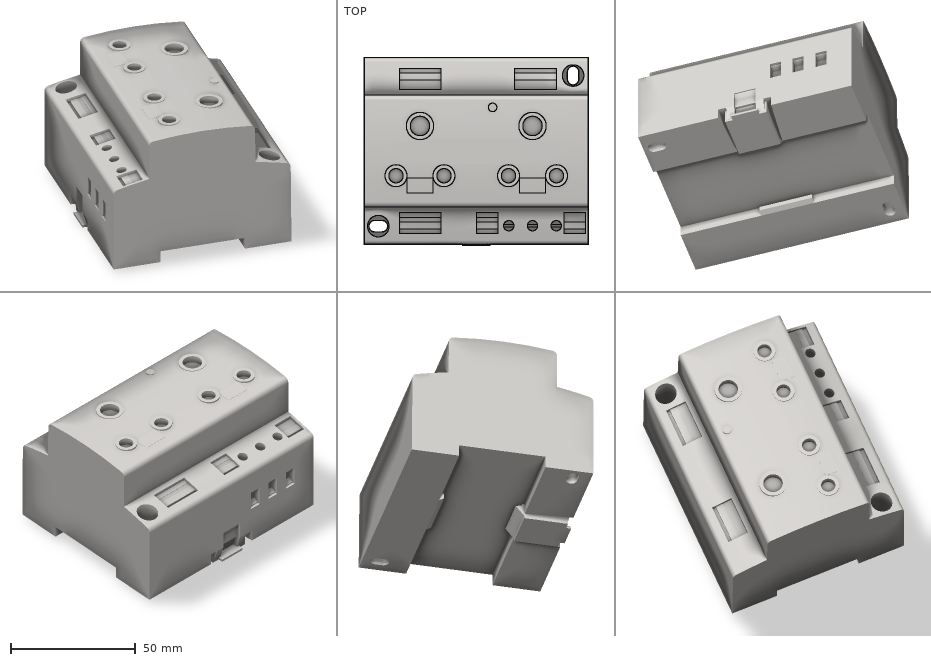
import cadquery as cq
import math


LENGTH = 90.0
DEPTH = 75.1
CROWN_TOP = 57.3
CROWN_RADIUS = 171.0
EDGE_RADIUS = 2.0
FRONT_STEP = 15.0
BACK_STEP = 59.9
STEP_FOOT = 39.1
SHOULDER_EDGE = 35.9
SHOULDER_SAG = 0.2
BACK_DRAFT = 0.4

NOTCH_FRONT = 19.7
NOTCH_BACK = 55.4
NOTCH_HEIGHT = 4.95
HOOK_WIDTH = 22.3
HOOK_REACH = 2.0
HOOK_HEIGHT = 4.0
HOOK_TIP = (1.1, 3.15)

SLOT_FRONT_WIDTH = 22.3
SLOT_BACK_WIDTH = 19.1
LATCH_WIDTH = 17.5
LATCH_WALL = 0.9
LATCH_BOTTOM = -1.6
TRAY_FLOOR = -0.5
TRAY_FRONT = 1.6
TAB_OVERHANG = 0.45
TAB_WIDTH = 11.2
LATCH_TIP = 23.2
LATCH_TIP_Z = 3.7
LATCH_NECK = 20.6
LATCH_NECK_Z = 4.2
FACE_LEAN = 16.0

RECESS_WIDTH = 9.0
RECESS_TOP = 12.3
RECESS_CEILING = 0.45
RECESS_LEDGE = 9.5
RECESS_FOOT = 5.2
RECESS_UNDERCUT = 0.9

ENTRY_PITCH = 9.5
ENTRY_MIDDLE = 22.6
ENTRY_XS = [ENTRY_MIDDLE + step * ENTRY_PITCH for step in (-1, 0, 1)]
ENTRY_WIDTH = 4.7
ENTRY_BOTTOM = 16.5
ENTRY_TOP = 24.75
ENTRY_MOUTH = 1.2
ENTRY_STEP = 0.4
ENTRY_FUNNEL_RISE = 1.2
ENTRY_FUNNEL_ANGLE = 30.0
SCREW_Y = 7.5
SCREW_DIAMETER = 4.1
SCREW_HEAD_Z = 27.0
SCREW_SLOT_WIDTH = 0.9
SCREW_SLOT_DEPTH = 0.7

WINDOW_DEPTH = 1.3
SHALLOW_GROOVE = 0.2
DEEP_GROOVE = 0.9
LEFT_WINDOW_X = (-30.8, -14.2)
FRONT_MIDDLE_WINDOW_X = (0.1, 8.7)
FRONT_RIGHT_WINDOW_X = (35.3, 43.9)
BACK_RIGHT_WINDOW_X = (15.3, 32.2)
FRONT_WINDOW = (4.3, 12.7)
FRONT_OUTER_GROOVE = (FRONT_WINDOW[0], 6.2)
FRONT_INNER_GROOVE = (9.0, 10.7)
FRONT_WIDE_GROOVE = (FRONT_INNER_GROOVE[0], FRONT_WINDOW[1])
BACK_WINDOW = (62.1, 70.6)
BACK_OUTER_GROOVE = (68.85, BACK_WINDOW[1])
BACK_WIDE_GROOVE = (BACK_WINDOW[0], 66.0)

MOUNT_FRONT_X = -39.3
MOUNT_FRONT_Y = 7.3
MOUNT_BACK_X = 38.9
MOUNT_BACK_Y = 67.8
MOUNT_HEAD_DIAMETER = 8.6
MOUNT_SLOT_LENGTH = 7.5
MOUNT_SLOT_WIDTH = 4.5
MOUNT_FLOOR = 4.95

GROUP_X = 22.6
RIM_TOP = 57.5
BIG_SOCKET_Y = 47.5
BIG_RIM_DIAMETER = 11.0
BIG_BORE_DIAMETER = 7.8
SMALL_SOCKET_Y = 27.5
SMALL_SOCKET_OFFSET = 9.6
SMALL_RIM_DIAMETER = 8.8
SMALL_BORE_DIAMETER = 5.8
BORE_DEPTH = 3.15
PAD_WIDTH = 10.35
PAD_FRONT = 20.6
PAD_BACK = 26.6
PAD_HEIGHT = 0.1
LAMP_X = 6.6
LAMP_Y = 55.0
LAMP_DIAMETER = 3.4
LAMP_TOP = 57.0

CROWN_Y = (FRONT_STEP + BACK_STEP) / 2


def crown_z(y):
    """Height of the curved top at y."""
    return CROWN_TOP - CROWN_RADIUS + math.sqrt(CROWN_RADIUS**2 - (y - CROWN_Y) ** 2)


def extrude_x(wire, center, width):
    """Solid of a closed YZ outline, centred on x = center."""
    return wire.extrude(width / 2, both=True).translate((center, 0, 0))


def prism(points, center, width):
    """Straight-sided solid of YZ points, centred on x = center."""
    return extrude_x(cq.Workplane("YZ").polyline(points).close(), center, width)


def box(x_range, y_range, z_range):
    """Box between the given limits."""
    sizes = [high - low for low, high in (x_range, y_range, z_range)]
    corner = (x_range[0], y_range[0], z_range[0])
    return cq.Workplane("XY").box(*sizes, centered=False).translate(corner)


def rod(x, y, diameter, bottom, top):
    """Upright cylinder."""
    return cq.Workplane("XY", origin=(x, y, bottom)).circle(diameter / 2).extrude(top - bottom)


def shoulder_middle(y_start, y_end):
    """Middle point of a shoulder arc."""
    return ((y_start + y_end) / 2, (STEP_FOOT + SHOULDER_EDGE) / 2 + SHOULDER_SAG)


def make_housing():
    back_top = DEPTH - BACK_DRAFT
    crown_back = BACK_STEP - BACK_DRAFT
    outline = (
        cq.Workplane("YZ")
        .moveTo(0, 0)
        .lineTo(0, SHOULDER_EDGE)
        .threePointArc(shoulder_middle(0, FRONT_STEP), (FRONT_STEP, STEP_FOOT))
        .lineTo(FRONT_STEP, crown_z(FRONT_STEP))
        .threePointArc((CROWN_Y, CROWN_TOP), (crown_back, crown_z(crown_back)))
        .lineTo(BACK_STEP, STEP_FOOT)
        .threePointArc(shoulder_middle(BACK_STEP, back_top), (back_top, SHOULDER_EDGE))
        .lineTo(DEPTH, 0)
        .lineTo(NOTCH_BACK, 0)
        .lineTo(NOTCH_BACK, NOTCH_HEIGHT)
        .lineTo(NOTCH_FRONT, NOTCH_HEIGHT)
        .lineTo(NOTCH_FRONT, 0)
        .close()
    )
    body = extrude_x(outline, 0, LENGTH)
    for y, z in (
        (0, SHOULDER_EDGE),
        (FRONT_STEP, crown_z(FRONT_STEP)),
        (crown_back, crown_z(crown_back)),
        (back_top, SHOULDER_EDGE),
    ):
        body = body.edges(cq.NearestToPointSelector((0, y, z))).fillet(EDGE_RADIUS)
    return body


def make_fixed_hook():
    tip = NOTCH_BACK - HOOK_REACH
    points = [(NOTCH_BACK, 0), (tip, HOOK_TIP[0]), (tip, HOOK_TIP[1]), (NOTCH_BACK, HOOK_HEIGHT)]
    return prism(points, 0, HOOK_WIDTH)


def lean_run(height):
    """Horizontal run of a leaning face over the given height."""
    return height * math.tan(math.radians(FACE_LEAN))


def cut_latch_slot(body):
    front = SLOT_FRONT_WIDTH / 2
    back = SLOT_BACK_WIDTH / 2
    points = [(-front, 0), (front, 0), (back, NOTCH_FRONT), (-back, NOTCH_FRONT)]
    return body.cut(cq.Workplane("XY").polyline(points).close().extrude(NOTCH_HEIGHT))


def make_latch():
    core = prism(
        [
            (TRAY_FRONT, LATCH_BOTTOM),
            (TRAY_FRONT, NOTCH_HEIGHT),
            (LATCH_NECK, NOTCH_HEIGHT),
            (LATCH_NECK, LATCH_NECK_Z),
            (LATCH_TIP, LATCH_TIP_Z),
            (NOTCH_FRONT, TRAY_FLOOR),
            (NOTCH_FRONT, LATCH_BOTTOM),
        ],
        0,
        LATCH_WIDTH,
    )
    inner_width = LATCH_WIDTH - 2 * LATCH_WALL
    inner_limits = (-inner_width / 2, inner_width / 2)
    foot = lean_run(NOTCH_HEIGHT - TRAY_FLOOR)
    core = core.cut(box(inner_limits, (0, NOTCH_FRONT), (TRAY_FLOOR, NOTCH_HEIGHT)))
    filling = [
        (0, NOTCH_HEIGHT),
        (foot, TRAY_FLOOR),
        (NOTCH_FRONT, TRAY_FLOOR),
        (NOTCH_FRONT, NOTCH_HEIGHT),
    ]
    core = core.union(prism(filling, 0, inner_width))
    tab = box(
        (-TAB_WIDTH / 2, TAB_WIDTH / 2), (-TAB_OVERHANG, TRAY_FRONT), (LATCH_BOTTOM, TRAY_FLOOR)
    )
    return core.union(tab)


def make_tool_recess():
    depth = RECESS_CEILING + lean_run(RECESS_TOP - RECESS_LEDGE)
    undercut = depth + RECESS_UNDERCUT
    foot = undercut + lean_run(RECESS_FOOT - TRAY_FLOOR)
    points = [
        (0, RECESS_TOP),
        (RECESS_CEILING, RECESS_TOP),
        (depth, RECESS_LEDGE),
        (depth, RECESS_FOOT),
        (undercut, RECESS_FOOT),
        (foot, TRAY_FLOOR),
        (0, TRAY_FLOOR),
    ]
    return prism(points, 0, RECESS_WIDTH)


def cut_wire_entry(body, x):
    depth = ENTRY_MOUTH + ENTRY_FUNNEL_RISE / math.tan(math.radians(ENTRY_FUNNEL_ANGLE))
    floor = ENTRY_BOTTOM + ENTRY_STEP
    ceiling = ENTRY_TOP - ENTRY_STEP
    points = [
        (0, ENTRY_BOTTOM),
        (ENTRY_MOUTH, ENTRY_BOTTOM),
        (ENTRY_MOUTH, floor),
        (depth, floor + ENTRY_FUNNEL_RISE),
        (depth, ceiling - ENTRY_FUNNEL_RISE),
        (ENTRY_MOUTH, ceiling),
        (ENTRY_MOUTH, ENTRY_TOP),
        (0, ENTRY_TOP),
    ]
    return body.cut(prism(points, x, ENTRY_WIDTH))


def cut_clamp_screw(body, x):
    """Round well down to a screw head with a driver slot."""
    slot_floor = SCREW_HEAD_Z - SCREW_SLOT_DEPTH
    slot_sides = (SCREW_Y - SCREW_SLOT_WIDTH / 2, SCREW_Y + SCREW_SLOT_WIDTH / 2)
    slot_ends = (x - SCREW_DIAMETER / 2, x + SCREW_DIAMETER / 2)
    slot = box(slot_ends, slot_sides, (slot_floor, SCREW_HEAD_Z))
    slot = slot.intersect(rod(x, SCREW_Y, SCREW_DIAMETER, slot_floor, SCREW_HEAD_Z))
    return body.cut(rod(x, SCREW_Y, SCREW_DIAMETER, SCREW_HEAD_Z, CROWN_TOP)).cut(slot)


def cut_window(body, housing, x_range, y_range, grooves):
    """Recess that follows the shoulder, with grooves across its floor."""
    for y_limits, depth in [(y_range, WINDOW_DEPTH)] + grooves:
        column = box(x_range, y_limits, (NOTCH_HEIGHT, CROWN_TOP))
        body = body.cut(column.cut(housing.translate((0, 0, -depth))))
    return body


def cut_mount_hole(body, x, y, slot_angle):
    slot = (
        cq.Workplane("XY")
        .slot2D(MOUNT_SLOT_LENGTH, MOUNT_SLOT_WIDTH, slot_angle)
        .extrude(MOUNT_FLOOR)
        .translate((x, y, 0))
    )
    return body.cut(rod(x, y, MOUNT_HEAD_DIAMETER, MOUNT_FLOOR, CROWN_TOP)).cut(slot)


def make_label_pad(housing, x):
    area = box(
        (x - PAD_WIDTH / 2, x + PAD_WIDTH / 2), (PAD_FRONT, PAD_BACK), (STEP_FOOT, RIM_TOP)
    )
    return area.intersect(housing.translate((0, 0, PAD_HEIGHT)))


def add_socket(body, x, y, rim_diameter, bore_diameter):
    """Raised round rim with a blind bore."""
    body = body.union(rod(x, y, rim_diameter, STEP_FOOT, RIM_TOP))
    return body.cut(rod(x, y, bore_diameter, RIM_TOP - BORE_DEPTH, RIM_TOP))


housing = make_housing()
body = cut_latch_slot(housing)
body = body.union(make_fixed_hook())
body = body.union(make_latch())
body = body.cut(make_tool_recess())

for entry_x in ENTRY_XS:
    body = cut_wire_entry(body, entry_x)
    body = cut_clamp_screw(body, entry_x)

shallow = WINDOW_DEPTH + SHALLOW_GROOVE
deep = WINDOW_DEPTH + DEEP_GROOVE
front_grooves = [(FRONT_OUTER_GROOVE, deep), (FRONT_INNER_GROOVE, shallow)]
front_wide_grooves = [(FRONT_OUTER_GROOVE, deep), (FRONT_WIDE_GROOVE, shallow)]
back_grooves = [(BACK_OUTER_GROOVE, deep), (BACK_WIDE_GROOVE, shallow)]
for x_range, y_range, grooves in (
    (LEFT_WINDOW_X, FRONT_WINDOW, front_grooves),
    (FRONT_MIDDLE_WINDOW_X, FRONT_WINDOW, front_grooves),
    (FRONT_RIGHT_WINDOW_X, FRONT_WINDOW, front_wide_grooves),
    (LEFT_WINDOW_X, BACK_WINDOW, back_grooves),
    (BACK_RIGHT_WINDOW_X, BACK_WINDOW, back_grooves),
):
    body = cut_window(body, housing, x_range, y_range, grooves)

body = cut_mount_hole(body, MOUNT_FRONT_X, MOUNT_FRONT_Y, 0)
body = cut_mount_hole(body, MOUNT_BACK_X, MOUNT_BACK_Y, 90)

for group_x in (-GROUP_X, GROUP_X):
    body = body.union(make_label_pad(housing, group_x))
    body = add_socket(body, group_x, BIG_SOCKET_Y, BIG_RIM_DIAMETER, BIG_BORE_DIAMETER)
    for offset in (-SMALL_SOCKET_OFFSET, SMALL_SOCKET_OFFSET):
        small_x = group_x + offset
        body = add_socket(body, small_x, SMALL_SOCKET_Y, SMALL_RIM_DIAMETER, SMALL_BORE_DIAMETER)

body = body.union(rod(LAMP_X, LAMP_Y, LAMP_DIAMETER, STEP_FOOT, LAMP_TOP))

result = body